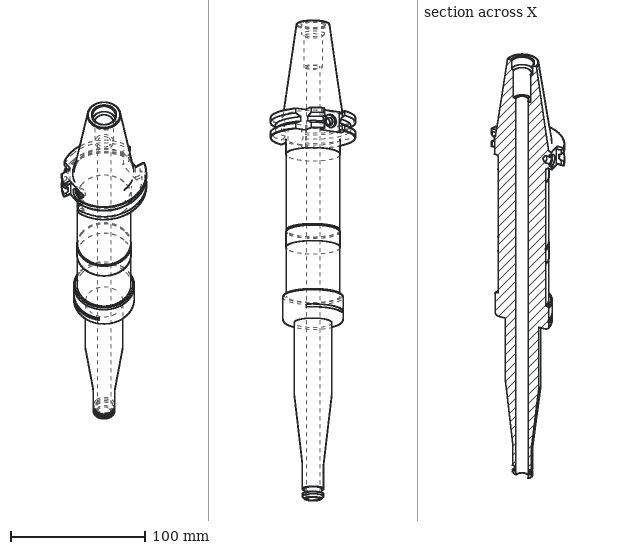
import cadquery as cq
import math

LENGTH = 364.2

TAPER_TOP_DIA = 24.8
TAPER_TOP_FACE_DIA = 23.5
GAUGE_DIA = 44.5
TAPER_LENGTH = 69.5

FLANGE_DIA = 63.5
FLANGE_TOP = 71.8
FLANGE_BOTTOM = 87.5
FLANGE_CHAMFER = 0.5
FLANGE_FILLET = 1.0
GROOVE_CENTRE = 79.5
GROOVE_FLOOR_DIA = 56.0
GROOVE_FLOOR_WIDTH = 3.3
GROOVE_FLANK_ANGLE = 32.0

BODY_DIA = 40.5
BODY_BAND_DIA = 40.0
BAND_1_TOP = 99.8
BAND_2_TOP = 159.0
BAND_2_BOTTOM = 171.2
JOINT_GROOVE_WIDTH = 1.0
JOINT_GROOVE_DIA = 39.5

COLLAR_DIA = 45.0
COLLAR_TOP = 208.5
COLLAR_BOTTOM = 229.0
COLLAR_CHAMFER = 1.0
COLLAR_FILLET = 3.3
MARK_TOP = 220.5
MARK_BOTTOM = 222.5
MARK_DEPTH = 0.5
MARK_ANGLE = 90.0

NOSE_DIA = 28.0
CONE_TOP = 285.0
CONE_BOTTOM = 337.5
TIP_DIA = 16.0
TIP_GROOVE_DIA = 13.0
TIP_GROOVE_TOP = 356.5
TIP_GROOVE_BOTTOM = 360.5
TIP_CHAMFER = 2.0

MOUTH_DIA = 18.5
COUNTERBORE_DIA = 17.0
COUNTERBORE_DEPTH = 7.3
STUD_HOLE_DIA = 14.0
STUD_HOLE_DEPTH = 32.8
THROUGH_DIA = 10.0

SLOT_WIDTH = 15.3
SLOT_CHAMFER = 1.5
SLOT_FLOOR_BACK = 23.0
SLOT_FLOOR_FRONT = 24.8

NOTCH_FLOOR = 18.0
NOTCH_FILLET = 1.0

PIN_BORE_DIA = 10.0
PIN_BORE_DEPTH = 2.0
PIN_HOLE_DIA = 6.0
PIN_HOLE_DEPTH = 5.5
DRILL_HALF_ANGLE = 59.0


def make_body():
    """Revolve the outer profile, listed as (radius, depth below the taper mouth)."""
    flange_r = FLANGE_DIA / 2
    floor_r = GROOVE_FLOOR_DIA / 2
    floor_half = GROOVE_FLOOR_WIDTH / 2
    rim_half = floor_half + (flange_r - floor_r) * math.tan(math.radians(GROOVE_FLANK_ANGLE))
    body_r = BODY_DIA / 2
    band_r = BODY_BAND_DIA / 2
    joint_r = JOINT_GROOVE_DIA / 2
    collar_r = COLLAR_DIA / 2
    tip_r = TIP_DIA / 2
    arc_mid = 1 - math.sqrt(0.5)

    top_chamfer = (TAPER_TOP_DIA - TAPER_TOP_FACE_DIA) / 2
    neck_r = GAUGE_DIA / 2
    outline = (
        cq.Workplane("XZ")
        .lineTo(TAPER_TOP_FACE_DIA / 2, 0)
        .lineTo(TAPER_TOP_DIA / 2, -top_chamfer)
        .lineTo(neck_r, -TAPER_LENGTH)
        .lineTo(neck_r, -(FLANGE_TOP - FLANGE_FILLET))
        .threePointArc(
            (neck_r + FLANGE_FILLET * arc_mid, -(FLANGE_TOP - FLANGE_FILLET * arc_mid)),
            (neck_r + FLANGE_FILLET, -FLANGE_TOP),
        )
    )
    across_flange = [
        (flange_r - FLANGE_CHAMFER, FLANGE_TOP),
        (flange_r, FLANGE_TOP + FLANGE_CHAMFER),
        (flange_r, GROOVE_CENTRE - rim_half),
        (floor_r, GROOVE_CENTRE - floor_half),
        (floor_r, GROOVE_CENTRE + floor_half),
        (flange_r, GROOVE_CENTRE + rim_half),
        (flange_r, FLANGE_BOTTOM - FLANGE_CHAMFER),
        (flange_r - FLANGE_CHAMFER, FLANGE_BOTTOM),
        (body_r + FLANGE_FILLET, FLANGE_BOTTOM),
    ]
    for r, depth in across_flange:
        outline = outline.lineTo(r, -depth)
    outline = outline.threePointArc(
        (body_r + FLANGE_FILLET * arc_mid, -(FLANGE_BOTTOM + FLANGE_FILLET * arc_mid)),
        (body_r, -(FLANGE_BOTTOM + FLANGE_FILLET)),
    )
    to_collar = [
        (body_r, BAND_1_TOP),
        (band_r, BAND_1_TOP),
        (band_r, BAND_2_TOP - JOINT_GROOVE_WIDTH),
        (joint_r, BAND_2_TOP - JOINT_GROOVE_WIDTH),
        (joint_r, BAND_2_TOP),
        (body_r, BAND_2_TOP),
        (body_r, BAND_2_BOTTOM),
        (band_r, BAND_2_BOTTOM),
        (band_r, COLLAR_TOP),
        (collar_r - COLLAR_CHAMFER, COLLAR_TOP),
        (collar_r, COLLAR_TOP + COLLAR_CHAMFER),
        (collar_r, COLLAR_BOTTOM - COLLAR_FILLET),
    ]
    for r, depth in to_collar:
        outline = outline.lineTo(r, -depth)
    outline = outline.threePointArc(
        (collar_r - COLLAR_FILLET * arc_mid, -(COLLAR_BOTTOM - COLLAR_FILLET * arc_mid)),
        (collar_r - COLLAR_FILLET, -COLLAR_BOTTOM),
    )
    to_tip = [
        (NOSE_DIA / 2, COLLAR_BOTTOM),
        (NOSE_DIA / 2, CONE_TOP),
        (tip_r, CONE_BOTTOM),
        (tip_r, TIP_GROOVE_TOP),
        (TIP_GROOVE_DIA / 2, TIP_GROOVE_TOP),
        (TIP_GROOVE_DIA / 2, TIP_GROOVE_BOTTOM),
        (tip_r, TIP_GROOVE_BOTTOM),
        (tip_r, LENGTH - TIP_CHAMFER),
        (tip_r - TIP_CHAMFER, LENGTH),
        (0, LENGTH),
    ]
    for r, depth in to_tip:
        outline = outline.lineTo(r, -depth)
    return outline.close().revolve(360, (0, 0, 0), (0, 1, 0))


def make_bore():
    """Stepped axial bore, open at both ends."""
    countersink = (COUNTERBORE_DIA - STUD_HOLE_DIA) / 2
    chamfer = (MOUTH_DIA - COUNTERBORE_DIA) / 2
    profile = [
        (0, 0),
        (MOUTH_DIA / 2, 0),
        (COUNTERBORE_DIA / 2, chamfer),
        (COUNTERBORE_DIA / 2, COUNTERBORE_DEPTH),
        (STUD_HOLE_DIA / 2, COUNTERBORE_DEPTH + countersink),
        (STUD_HOLE_DIA / 2, STUD_HOLE_DEPTH),
        (THROUGH_DIA / 2, STUD_HOLE_DEPTH),
        (THROUGH_DIA / 2, LENGTH),
        (0, LENGTH),
    ]
    points = [(r, -depth) for r, depth in profile]
    return cq.Workplane("XZ").polyline(points).close().revolve(360, (0, 0, 0), (0, 1, 0))


def make_slot(side, floor):
    """Drive slot through the flange on the +Y (side 1) or -Y (side -1) side."""
    half = SLOT_WIDTH / 2
    rim_y = math.sqrt((FLANGE_DIA / 2) ** 2 - (half + SLOT_CHAMFER) ** 2)
    wide = half + SLOT_CHAMFER
    outer_y = FLANGE_DIA / 2
    plan = [
        (-half, side * floor),
        (half, side * floor),
        (half, side * (rim_y - SLOT_CHAMFER)),
        (wide, side * rim_y),
        (wide, side * outer_y),
        (-wide, side * outer_y),
        (-wide, side * rim_y),
        (-half, side * (rim_y - SLOT_CHAMFER)),
    ]
    height = FLANGE_BOTTOM - FLANGE_TOP
    slot = cq.Workplane("XY").workplane(offset=-FLANGE_BOTTOM).polyline(plan).close().extrude(height)

    bevel = [
        (-wide, -FLANGE_TOP),
        (wide, -FLANGE_TOP),
        (half, -FLANGE_TOP - SLOT_CHAMFER),
        (half, -FLANGE_BOTTOM + SLOT_CHAMFER),
        (wide, -FLANGE_BOTTOM),
        (-wide, -FLANGE_BOTTOM),
        (-half, -FLANGE_BOTTOM + SLOT_CHAMFER),
        (-half, -FLANGE_TOP - SLOT_CHAMFER),
    ]
    start = cq.Workplane("XZ").workplane(offset=-side * floor)
    return slot.union(start.polyline(bevel).close().extrude(-side * (outer_y - floor)))


def make_notch():
    """Square notch that removes the -X -Y corner of the flange."""
    size = FLANGE_DIA / 2 - NOTCH_FLOOR
    centre = -(NOTCH_FLOOR + size / 2)
    notch = cq.Workplane("XY").workplane(offset=-FLANGE_BOTTOM).center(centre, centre)
    notch = notch.rect(size, size).extrude(FLANGE_BOTTOM - FLANGE_TOP)
    return notch.edges("|Z and >X and >Y").fillet(NOTCH_FILLET)


def make_pin_hole():
    """Stepped blind hole with a drill-point end, along +Y from the front slot floor."""
    pin_r = PIN_HOLE_DIA / 2
    point_depth = PIN_HOLE_DEPTH + pin_r / math.tan(math.radians(DRILL_HALF_ANGLE))
    profile = [
        (0, 0),
        (PIN_BORE_DIA / 2, 0),
        (PIN_BORE_DIA / 2, PIN_BORE_DEPTH),
        (pin_r, PIN_BORE_DEPTH),
        (pin_r, PIN_HOLE_DEPTH),
        (0, point_depth),
    ]
    hole = cq.Workplane("XY").polyline(profile).close().revolve(360, (0, 0, 0), (0, 1, 0))
    return hole.translate((0, -SLOT_FLOOR_FRONT, -(FLANGE_TOP + FLANGE_BOTTOM) / 2))


def make_collar_mark():
    """Shallow arc groove on the -Y side of the collar."""
    outer_r = COLLAR_DIA / 2
    inner_r = outer_r - MARK_DEPTH
    section = [
        (inner_r, -MARK_TOP),
        (outer_r, -MARK_TOP),
        (outer_r, -MARK_BOTTOM),
        (inner_r, -MARK_BOTTOM),
    ]
    arc = cq.Workplane("XZ").polyline(section).close().revolve(MARK_ANGLE, (0, 0, 0), (0, -1, 0))
    return arc.rotate((0, 0, 0), (0, 0, 1), -90 + MARK_ANGLE / 2)


result = (
    make_body()
    .cut(make_bore())
    .cut(make_slot(1, SLOT_FLOOR_BACK))
    .cut(make_slot(-1, SLOT_FLOOR_FRONT))
    .cut(make_notch())
    .cut(make_pin_hole())
    .cut(make_collar_mark())
)